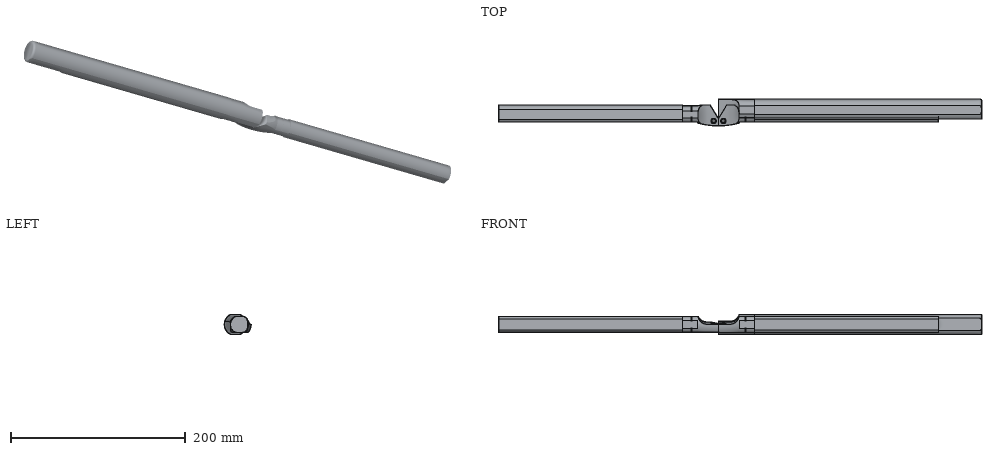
import cadquery as cq

SLIM_END = 251.5
THICK_END = 301.5
FITTING_LENGTH = 41.0

SLIM_RADIUS = 21.5 / 2
SLIM_HEIGHT = 18.0
SLIM_FRONT = 9.0
THICK_RADIUS = 25.5 / 2
THICK_HEIGHT = 23.0
THICK_FRONT = 10.5
THICK_OFFSET = 5.0
THICK_END_FILLET = 3.0

SLIM_NECK_RADIUS = 20.0 / 2
THICK_NECK_RADIUS = 25.0 / 2
BULGE_RADIUS = 13.0
BULGE_END = 24.0
SLANT_LENGTH = 9.5
SLANT_Y = -5.0
GROOVE_X = 30.5
GROOVE_WIDTH = 1.0
GROOVE_DEPTH = 0.3

FLOOR_HEIGHT = 1.5
FLOOR_TILT = 7.0
SCOOP_START = 13.0
SCOOP_RADIUS = 10.5

HINGE_HOLE_DIAMETER = 4.5
HINGE_HOLE_DEPTH = 4.5
COUNTERBORE_DIAMETER = 6.0
COUNTERBORE_DEPTH = 1.5
HINGE_HOLE_X = 5.5
HINGE_HOLE_Y = -8.0

BIG = 55.5


def flat_limits(length, height, front):
    """Block from x = 0 that is bounded by the flats of a bar and open towards +Y."""
    block = cq.Workplane("XY").box(length, BIG, height, centered=(False, False, True))
    return block.translate((0, -front, 0))


def round_bar(length, radius):
    return cq.Workplane("YZ").circle(radius).extrude(length)


def on_floor(tool):
    """Carry a tool from the XY plane onto the tilted half-lap floor."""
    return tool.rotate((0, 0, 0), (1, 0, 0), FLOOR_TILT).translate((0, 0, FLOOR_HEIGHT))


def slim_pole():
    length = SLIM_END - FITTING_LENGTH
    bar = round_bar(length, SLIM_RADIUS)
    bar = bar.intersect(flat_limits(length, SLIM_HEIGHT, SLIM_FRONT))
    return bar.translate((FITTING_LENGTH, 0, 0))


def lap_cutter():
    """Space above the half-lap floor, ending in a concave quarter round."""
    scoop_end = SCOOP_START + SCOOP_RADIUS
    space = (
        cq.Workplane("XZ", origin=(0, BIG, 0))
        .lineTo(SCOOP_START, 0)
        .radiusArc((scoop_end, SCOOP_RADIUS), -SCOOP_RADIUS)
        .lineTo(scoop_end, BIG)
        .lineTo(0, BIG)
        .close()
        .extrude(2 * BIG)
    )
    return on_floor(space)


def bulged_body():
    """Neck that swells in an arc towards the hinge plane."""
    middle_radius = BULGE_RADIUS - (BULGE_RADIUS - SLIM_NECK_RADIUS) / 4
    return (
        cq.Workplane("XY")
        .lineTo(0, BULGE_RADIUS)
        .threePointArc((BULGE_END / 2, middle_radius), (BULGE_END, SLIM_NECK_RADIUS))
        .lineTo(FITTING_LENGTH, SLIM_NECK_RADIUS)
        .lineTo(FITTING_LENGTH, 0)
        .close()
        .revolve(360, (0, 0, 0), (1, 0, 0))
    )


def neck_groove():
    groove = cq.Workplane("YZ", origin=(GROOVE_X, 0, 0)).circle(SLIM_RADIUS)
    return groove.circle(SLIM_NECK_RADIUS - GROOVE_DEPTH).extrude(GROOVE_WIDTH)


def slant_cutter():
    """Wedge that slants the end away from the hinge plane towards +Y."""
    return (
        cq.Workplane("XY", origin=(0, 0, -BIG))
        .moveTo(0, SLANT_Y)
        .lineTo(SLANT_LENGTH, SLIM_RADIUS)
        .lineTo(SLANT_LENGTH, BIG)
        .lineTo(0, BIG)
        .close()
        .extrude(2 * BIG)
    )


def hinge_hole():
    centre = cq.Workplane("XY").center(HINGE_HOLE_X, HINGE_HOLE_Y)
    hole = centre.circle(HINGE_HOLE_DIAMETER / 2).extrude(-HINGE_HOLE_DEPTH)
    counterbore = centre.circle(COUNTERBORE_DIAMETER / 2).extrude(-COUNTERBORE_DEPTH)
    return on_floor(hole.union(counterbore))


def slim_blank():
    """Bulged half-lap fitting on the +X side of the hinge plane, before its hinge hole."""
    limits = flat_limits(FITTING_LENGTH, SLIM_HEIGHT, SLIM_FRONT).union(
        flat_limits(BULGE_END, SLIM_HEIGHT, BULGE_RADIUS)
    )
    back_limit = cq.Workplane("XY").box(FITTING_LENGTH, BIG, BIG, centered=(False, False, True))
    limits = limits.intersect(back_limit.translate((0, SLIM_RADIUS - BIG, 0)))
    body = bulged_body().intersect(limits)
    return body.cut(neck_groove()).cut(lap_cutter()).cut(slant_cutter())


def thick_pole(slim):
    """Thick pole with a rounded far end and a channel for a slim pole."""
    length = THICK_END - FITTING_LENGTH
    bar = round_bar(length, THICK_RADIUS).faces(">X").edges().fillet(THICK_END_FILLET)
    bar = bar.intersect(flat_limits(length, THICK_HEIGHT, THICK_FRONT))
    return bar.translate((FITTING_LENGTH, THICK_OFFSET, 0)).cut(slim)


def thick_fitting(blank):
    """Thick half-lap fitting with a recess for the slim fitting."""
    body = round_bar(FITTING_LENGTH, THICK_NECK_RADIUS)
    body = body.intersect(flat_limits(FITTING_LENGTH, THICK_HEIGHT, THICK_FRONT))
    return body.translate((0, THICK_OFFSET, 0)).cut(lap_cutter()).cut(blank)


right_pole = slim_pole()
left_pole = right_pole.mirror("YZ")
right_blank = slim_blank()
right_fitting = right_blank.cut(hinge_hole())
left_fitting = right_fitting.mirror("YZ")
carrier_pole = thick_pole(right_pole)
carrier_fitting = thick_fitting(right_blank)

bodies = [left_pole, left_fitting, right_pole, right_fitting, carrier_pole, carrier_fitting]
result = cq.Compound.makeCompound([body.solids().val() for body in bodies])